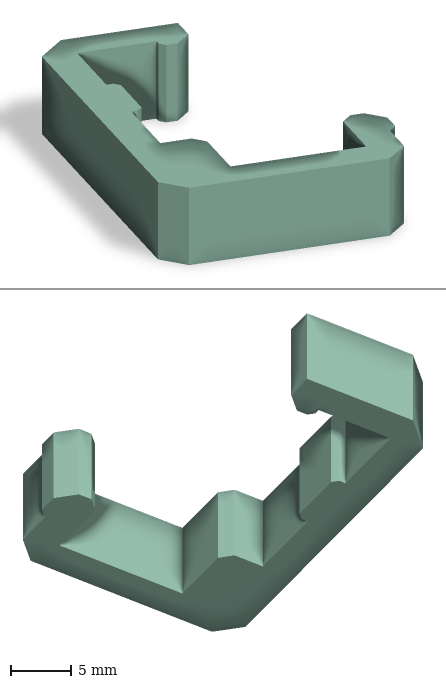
import cadquery as cq

length = 32.5
depth = 22.5
thickness = 7.0

wall = 3.0
left_corner_chamfer = 2.65
right_corner_chamfer = 2.0

left_arm_height = 13.0
lip_reach = 1.0
lip_top_chamfer = 1.5
lip_bottom_chamfer = 0.5
lip_underside = left_arm_height - wall
lip_tip = wall + lip_reach

pad_width = 5.9
pad_height = 1.1
pad_chamfer = 0.5

block_left = 22.95
block_top = 6.75
block_chamfer = 1.0

opening_height = 12.0
hook_underside = block_top + opening_height
hook_arm_top = hook_underside + wall
hook_top_chamfer = 1.53
hook_bottom_chamfer = 1.0
hook_crest_width = 1.82

right_wall_inner = length - wall
pad_left = (wall + block_left - pad_width) / 2
pad_right = pad_left + pad_width
pad_top = wall + pad_height
crest_left = block_left + hook_top_chamfer
crest_right = crest_left + hook_crest_width
crest_rise = depth - hook_arm_top

outer_corners = [
    (0, left_corner_chamfer),
    (left_corner_chamfer, 0),
    (length - right_corner_chamfer, 0),
    (length, right_corner_chamfer),
    (length, hook_arm_top - right_corner_chamfer),
    (length - right_corner_chamfer, hook_arm_top),
]

hook = [
    (crest_right + crest_rise, hook_arm_top),
    (crest_right, depth),
    (crest_left, depth),
    (block_left, depth - hook_top_chamfer),
    (block_left, hook_underside + hook_bottom_chamfer),
    (block_left + hook_bottom_chamfer, hook_underside),
    (right_wall_inner, hook_underside),
]

block = [
    (right_wall_inner, block_top),
    (block_left + block_chamfer, block_top),
    (block_left, block_top - block_chamfer),
    (block_left, wall),
]

pad = [
    (pad_right, wall),
    (pad_right, pad_top - pad_chamfer),
    (pad_right - pad_chamfer, pad_top),
    (pad_left + pad_chamfer, pad_top),
    (pad_left, pad_top - pad_chamfer),
    (pad_left, wall),
]

left_arm = [
    (wall, wall),
    (wall, lip_underside),
    (lip_tip - lip_bottom_chamfer, lip_underside),
    (lip_tip, lip_underside + lip_bottom_chamfer),
    (lip_tip, left_arm_height - lip_top_chamfer),
    (lip_tip - lip_top_chamfer, left_arm_height),
    (0, left_arm_height),
]

outline = outer_corners + hook + block + pad + left_arm
result = cq.Workplane("XY").polyline(outline).close().extrude(thickness)